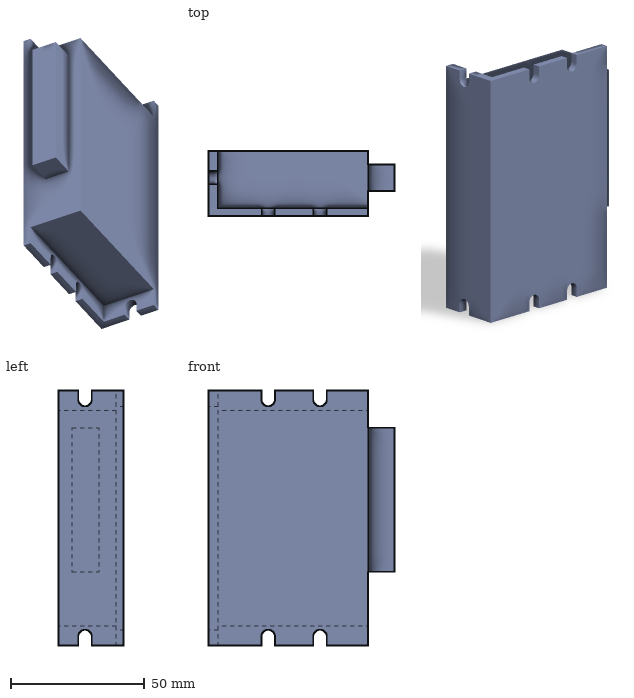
import cadquery as cq

bracket_width = 60.0
bracket_depth = 24.5
bracket_height = 96.0
front_thickness = 3.0
flange_thickness = 3.6

notch_width = 5.0
notch_depth = 6.0
front_notch_positions = [22.5, 42.0]
flange_notch_from_back = 10.0

block_end_inset = 7.5
connector_length = 10.0
connector_thickness = 10.0
connector_height = 54.2
connector_bottom = 27.7
connector_from_back = 5.1


def box_at(size_x, size_y, size_z, corner):
    """Box extending in +X, +Y and +Z from its corner."""
    return cq.Workplane("XY").box(size_x, size_y, size_z, centered=False).translate(corner)


def notch_cutters(plane, position, reach):
    """Top and bottom slots through a wall, centred on a position along the plane's first axis."""
    slot_length = 2 * notch_depth
    return (
        cq.Workplane(plane)
        .pushPoints([(position, 0), (position, bracket_height)])
        .slot2D(slot_length, notch_width, 90)
        .extrude(reach)
    )


def make_bracket():
    front_plate = box_at(bracket_width, front_thickness, bracket_height, (0, 0, 0))
    flange = box_at(flange_thickness, bracket_depth, bracket_height, (0, 0, 0))
    bracket = front_plate.union(flange)
    for position in front_notch_positions:
        bracket = bracket.cut(notch_cutters("XZ", position, -front_thickness))
    flange_notch_y = bracket_depth - flange_notch_from_back
    return bracket.cut(notch_cutters("YZ", flange_notch_y, flange_thickness))


def make_module():
    block = box_at(
        bracket_width - flange_thickness,
        bracket_depth - front_thickness,
        bracket_height - 2 * block_end_inset,
        (flange_thickness, front_thickness, block_end_inset),
    )
    connector_y = bracket_depth - connector_from_back - connector_thickness
    connector = box_at(
        connector_length,
        connector_thickness,
        connector_height,
        (bracket_width, connector_y, connector_bottom),
    )
    return block.union(connector)


bracket = make_bracket()
module = make_module()
result = cq.Compound.makeCompound([bracket.val(), module.val()])